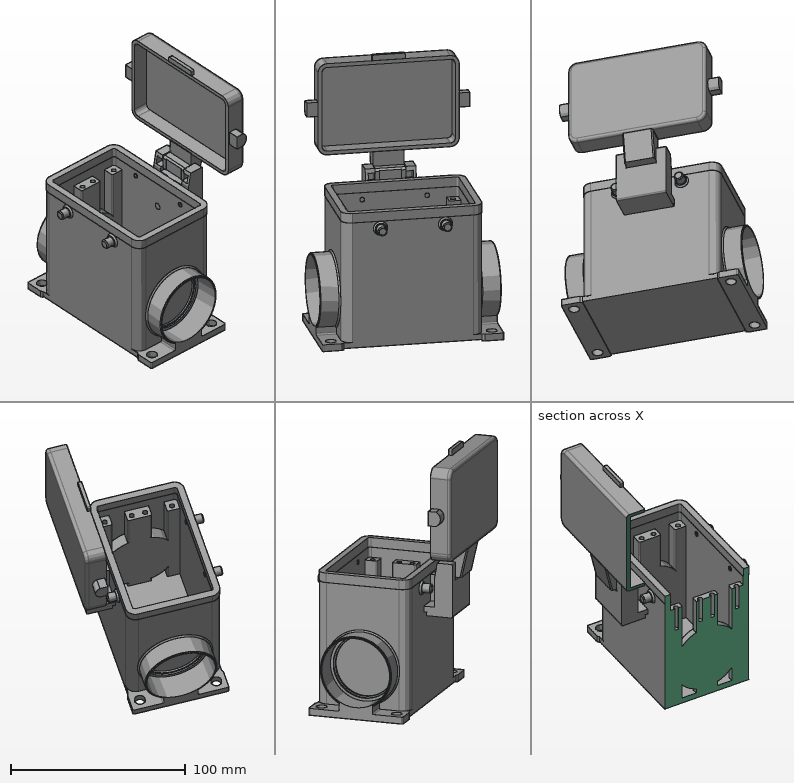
import cadquery as cq
width = 82.5
depth = 56.0
height = 82.1
bottom_z = 0.8
wall = 4.0
floor_thickness = wall
corner_radius = 5.8
cavity_radius = 1.5
rim_height = 5.7
rim_step = 0.2
rim_z = height - rim_height

foot_reach = 53.0
foot_half_depth = 28.6
foot_height = 4.1
foot_neck = 1.4
foot_root_x = width / 2 + 0.5
foot_hole_x = 47.0
foot_hole_y = 22.8
foot_hole_radius = 3.0
foot_corner_radius = 0.8
foot_root_fillet = 0.8

collar_radius = 21.6
collar_bore_radius = 20.5
collar_z = 27.7
collar_root_flare = 0.9
collar_root_land = 0.02
collar_lip_chamfer = 0.5
pedestal_width = 20.2
pedestal_top_z = 16.8
bore_floor_x = 38.3
disc_step_radius = 18.8
disc_radius = 17.9
disc_step_depth = 1.0
disc_depth = 2.3

pillar_inner_x = 30.3
pillar_z = 70.5
corner_pillar_depth = 7.7
centre_pillar_depth = 14.4
pillar_edge_radius = 0.8
screw_x = 33.2
corner_screw_y = 20.0
centre_screw_y = 4.0
screw_radius = 1.4
screw_depth = 15.3

pin_x = 19.0
pin_z = 72.1
pin_tip_y = 34.3
pin_radius = 2.68
pin_base_radius = 4.1
pin_cone_top_radius = 3.4
pin_cone_length = 1.2
pin_tip_chamfer = 0.6
pin_dimple_radius = 1.4
pin_dimple_depth = 0.5

bracket_width = 29.7
bracket_top_z = 86.4
bracket_bottom_z = 54.5
bracket_back_y = 45.2
bracket_nose_y = 36.0
bracket_front_y = 34.3
bracket_slant_z = 77.0
bracket_foot_z = 60.0
bracket_notch_z = 56.7
bracket_notch_y = 29.5
bracket_edge_radius = 0.8
bracket_slot_z = 75.8
rib_width = 6.3
pivot_pocket_width = 26.3
pivot_pocket_bottom_z = 78.9
pivot_pocket_top_z = 83.8
pivot_pocket_depth = 3.0
stud_radius = 2.0
stud_z = 61.0

lid_front_y = 41.2
lid_back_y = 53.5
lid_bottom_z = 94.6
lid_top_z = 149.8
lid_radius = 5.4
lid_wall = 2.3
lid_back_fillet = 2.0
lid_cavity_depth = 9.2
tab_width = 19.3
tab_front_y = lid_front_y - 0.2
tab_back_y = 43.2
tab_top_z = 153.2
tab_corner_radius = 0.9
lug_reach = 47.6
lug_half_height = 4.3
lug_front_y = 42.1
lug_shoulder_y = 46.9
lug_back_y = 49.5
lug_z = 122.2
arm_width = 18.0
arm_front_y = 41.7
arm_back_y = 52.5
arm_tip_y = 48.5
arm_bottom_z = 77.3
arm_edge_chamfer = 0.8
hinge_front_y = 36.1
hinge_top_z = 85.8
hinge_recess_width = 12.9
hinge_recess_depth = 0.3
hinge_chamfer = 1.4
arm_root_flare = 0.6

wall_inner_y = depth / 2 - wall
wall_inner_x = width / 2 - wall
wall_outer_y = depth / 2 - rim_step
wall_outer_x = width / 2 - rim_step
pick_margin = 0.2


def block(x0, x1, y0, y1, z0, z1):
    """Box between two opposite corners."""
    return cq.Workplane("XY").box(x1 - x0, y1 - y0, z1 - z0, centered=False).translate((x0, y0, z0))


def rounded_box(size_x, size_y, z0, z1, radius):
    """Upright box centred on the Z axis with rounded vertical edges."""
    box = cq.Workplane("XY").box(size_x, size_y, z1 - z0, centered=(True, True, False))
    return box.edges("|Z").fillet(radius).translate((0, 0, z0))


def end_cylinder(radius, x0, x1):
    """Cylinder along X on the axis of the cable entries."""
    return cq.Workplane("YZ", origin=(x0, 0, collar_z)).circle(radius).extrude(x1 - x0)


def back_cylinder(radius, x, z, y0, y1):
    """Cylinder along Y from y0 to y1."""
    return cq.Workplane("XZ", origin=(x, y0, z)).circle(radius).extrude(y0 - y1)


def both_ends(shape):
    """Shape at the +X end together with its mirror image at the -X end."""
    return shape.union(shape.mirror("YZ"))


def both_sides(shape):
    """Shape on the -Y side together with its mirror image on the +Y side."""
    return shape.union(shape.mirror("XZ"))


def make_shell():
    rim = rounded_box(width, depth, rim_z, height, corner_radius)
    body_width = width - 2 * rim_step
    body_depth = depth - 2 * rim_step
    body = rounded_box(body_width, body_depth, bottom_z, rim_z, corner_radius)
    plinth = cq.Workplane("XY").box(body_width, body_depth, foot_height - bottom_z,
                                    centered=(True, True, False)).translate((0, 0, bottom_z))
    return rim.union(body).union(plinth)


def make_feet():
    """End plates with a short neck that tapers into the long walls."""
    neck_x = foot_root_x - foot_neck
    outline = [
        (neck_x, -wall_outer_y),
        (foot_root_x, -foot_half_depth),
        (foot_reach, -foot_half_depth),
        (foot_reach, foot_half_depth),
        (foot_root_x, foot_half_depth),
        (neck_x, wall_outer_y),
    ]
    foot = cq.Workplane("XY").polyline(outline).close().extrude(foot_height)
    return both_ends(foot.edges("|Z and >X").fillet(foot_corner_radius))


def make_collars():
    """Entry collars, flared at the wall."""
    collar = end_cylinder(collar_radius, wall_outer_x, foot_reach)
    collar = collar.faces(">X").edges().chamfer(collar_lip_chamfer)
    flare_end_x = wall_outer_x + collar_root_flare
    flare = end_cylinder(collar_radius + collar_root_flare, wall_outer_x - wall / 2, flare_end_x)
    flare = flare.faces(">X").edges().chamfer(collar_root_flare - collar_root_land)
    return both_ends(collar.union(flare))


def make_base():
    """Shell, feet and collar pedestals, with fillets where the feet meet what stands on them."""
    half_pedestal = pedestal_width / 2
    pedestal = block(wall_inner_x, foot_reach, -half_pedestal, half_pedestal, bottom_z, pedestal_top_z)
    base = make_shell().union(make_feet()).union(both_ends(pedestal))
    for side_x in (-1, 1):
        for side_y in (-1, 1):
            pedestal_root = cq.selectors.BoxSelector(
                (side_x * wall_inner_x, side_y * (half_pedestal - pick_margin), foot_height - pick_margin),
                (side_x * foot_reach, side_y * (half_pedestal + pick_margin), foot_height + pick_margin))
            base = base.edges(pedestal_root).fillet(foot_root_fillet)
    return base


def make_entry_recesses():
    """Stepped blind bores of the collars, ending at the knock-out discs."""
    step_x = bore_floor_x - disc_step_depth
    disc_x = bore_floor_x - disc_depth
    bore = end_cylinder(collar_bore_radius, bore_floor_x, foot_reach)
    step = end_cylinder(disc_step_radius, step_x, bore_floor_x)
    disc = end_cylinder(disc_radius, disc_x, step_x)
    return both_ends(bore.union(step).union(disc))


def make_cavity():
    """Open interior, a little narrower below the rim band."""
    size_x = 2 * wall_inner_x
    size_y = 2 * wall_inner_y
    mouth = rounded_box(size_x, size_y, rim_z, height, cavity_radius)
    lower = rounded_box(size_x - 2 * rim_step, size_y - 2 * rim_step, bottom_z + floor_thickness, rim_z,
                        cavity_radius)
    return mouth.union(lower)


def make_inner_pillars():
    """Corner pillars, centre pillars and the entry bosses between them."""
    outer_x = width / 2 - wall / 2
    outer_y = depth / 2 - wall / 2
    corner_y = wall_inner_y - corner_pillar_depth
    half_centre = centre_pillar_depth / 2
    corner = block(pillar_inner_x, outer_x, corner_y, outer_y, bottom_z, pillar_z)
    corner = corner.edges("|Z and <X and <Y").fillet(pillar_edge_radius)
    centre = block(pillar_inner_x, outer_x, -half_centre, half_centre, bottom_z, pillar_z)
    centre = centre.edges("|Z and <X").fillet(pillar_edge_radius)
    boss = end_cylinder(collar_radius, pillar_inner_x, outer_x)
    return both_ends(both_sides(corner).union(centre).union(boss))


def make_pin():
    """Locking pin at +X on the -Y wall: conical base, round shank, chamfered tip."""
    cone_end = wall_outer_y + pin_cone_length
    profile = [
        (0, wall_inner_y + wall / 2),
        (pin_base_radius, wall_inner_y + wall / 2),
        (pin_base_radius, wall_outer_y),
        (pin_cone_top_radius, cone_end),
        (pin_radius, cone_end),
        (pin_radius, pin_tip_y - pin_tip_chamfer),
        (pin_radius - pin_tip_chamfer, pin_tip_y),
        (0, pin_tip_y),
    ]
    pin = cq.Workplane("XY").polyline(profile).close().revolve(360, (0, 0, 0), (0, 1, 0))
    return pin.mirror("XZ").translate((pin_x, 0, pin_z))


def make_housing():
    housing = make_base().union(make_collars())
    housing = housing.cut(make_cavity())
    housing = housing.union(make_inner_pillars())
    housing = housing.cut(make_entry_recesses())
    housing = housing.union(both_ends(both_sides(make_pin())))

    for side_x in (-1, 1):
        for side_y in (-1, 1):
            foot_hole = cq.Workplane("XY").circle(foot_hole_radius).extrude(foot_height)
            housing = housing.cut(foot_hole.translate((side_x * foot_hole_x, side_y * foot_hole_y, 0)))
            for screw_y in (corner_screw_y, centre_screw_y):
                screw_hole = cq.Workplane("XY").circle(screw_radius).extrude(-screw_depth)
                housing = housing.cut(screw_hole.translate((side_x * screw_x, side_y * screw_y, pillar_z)))
            dimple_y = wall_inner_y - rim_step
            dimple = back_cylinder(pin_dimple_radius, side_x * pin_x, pin_z,
                                   side_y * dimple_y, side_y * (dimple_y + pin_dimple_depth))
            housing = housing.cut(dimple)

    return housing.cut(make_stud())


def make_stud():
    """Round stud that fixes the bracket through the back wall."""
    return back_cylinder(stud_radius, 0, stud_z, wall_inner_y - rim_step, bracket_front_y)


def make_bracket():
    profile = [
        (wall_outer_y, bracket_notch_z),
        (bracket_notch_y, bracket_notch_z),
        (bracket_notch_y, bracket_bottom_z),
        (bracket_back_y, bracket_bottom_z),
        (bracket_back_y, bracket_top_z),
        (bracket_nose_y, bracket_top_z),
        (bracket_front_y, bracket_slant_z),
        (bracket_front_y, bracket_foot_z),
        (wall_outer_y, bracket_foot_z),
    ]
    bracket = cq.Workplane("YZ").polyline(profile).close().extrude(bracket_width / 2, both=True)
    bracket = bracket.edges("|X and >Y").fillet(bracket_edge_radius)
    rib = block(-rib_width / 2, rib_width / 2, wall_outer_y, bracket_nose_y, bracket_foot_z, bracket_slot_z)
    slot = block(-arm_width / 2, arm_width / 2, wall_outer_y, bracket_back_y, bracket_slot_z, bracket_top_z)
    pivot_pocket = block(-pivot_pocket_width / 2, pivot_pocket_width / 2, bracket_front_y,
                         bracket_nose_y + pivot_pocket_depth, pivot_pocket_bottom_z, pivot_pocket_top_z)
    return bracket.union(rib).cut(slot).cut(pivot_pocket).union(make_stud())


def make_lid_cover():
    """Rounded tray, open towards the housing side, with a softened back edge."""
    lid_height = lid_top_z - lid_bottom_z
    lid_z = (lid_top_z + lid_bottom_z) / 2
    front = cq.Workplane("XZ", origin=(0, lid_front_y, lid_z))
    tray = front.rect(width, lid_height).extrude(lid_front_y - lid_back_y)
    tray = tray.edges("|Y").fillet(lid_radius).faces(">Y").edges().fillet(lid_back_fillet)
    cavity = front.rect(width - 2 * lid_wall, lid_height - 2 * lid_wall).extrude(-lid_cavity_depth)
    return tray.cut(cavity.edges("|Y").fillet(lid_radius - lid_wall))


def make_lug():
    """D-shaped lug at the +X end of the lid, flat towards the front."""
    profile = (
        cq.Workplane("YZ", origin=(width / 2 - lid_wall / 2, 0, 0))
        .moveTo(lug_front_y, lug_z - lug_half_height)
        .lineTo(lug_shoulder_y, lug_z - lug_half_height)
        .threePointArc((lug_back_y, lug_z), (lug_shoulder_y, lug_z + lug_half_height))
        .lineTo(lug_front_y, lug_z + lug_half_height)
        .close()
    )
    return profile.extrude(lug_reach - width / 2 + lid_wall / 2)


def make_hinge_arm():
    """Tapered arm under the lid that ends in a recessed hinge block."""
    root_z = lid_bottom_z + lid_wall / 2
    profile = [
        (arm_front_y, root_z),
        (arm_back_y, root_z),
        (arm_back_y, lid_bottom_z),
        (arm_tip_y, arm_bottom_z),
        (hinge_front_y, arm_bottom_z),
        (hinge_front_y, hinge_top_z - hinge_chamfer),
        (hinge_front_y + hinge_chamfer, hinge_top_z),
        (arm_front_y, hinge_top_z),
    ]
    arm = cq.Workplane("YZ").polyline(profile).close().extrude(arm_width / 2, both=True)
    slant_edges = cq.selectors.BoxSelector((-arm_width, arm_tip_y, arm_bottom_z + pick_margin),
                                           (arm_width, arm_back_y, lid_bottom_z - pick_margin))
    arm = arm.edges(slant_edges).chamfer(arm_edge_chamfer)
    recess = block(-hinge_recess_width / 2, hinge_recess_width / 2, hinge_front_y,
                   hinge_front_y + hinge_recess_depth, arm_bottom_z, hinge_top_z)
    half_width = arm_width / 2
    flare_z = lid_bottom_z - arm_root_flare
    flare_profile = [
        (-half_width, flare_z),
        (half_width, flare_z),
        (half_width + arm_root_flare, root_z),
        (-half_width - arm_root_flare, root_z),
    ]
    flare = cq.Workplane("XZ", origin=(0, arm_front_y, 0)).polyline(flare_profile).close()
    return arm.cut(recess).union(flare.extrude(arm_front_y - arm_back_y + lid_back_fillet))


def make_lid():
    tab = block(-tab_width / 2, tab_width / 2, tab_front_y, tab_back_y, lid_top_z, tab_top_z)
    tab = tab.edges("|Y and >Z").fillet(tab_corner_radius)
    return make_lid_cover().union(tab).union(both_ends(make_lug())).union(make_hinge_arm())


housing = make_housing()
bracket = make_bracket()
lid = make_lid()

result = cq.Compound.makeCompound([housing.val(), bracket.val(), lid.val()])